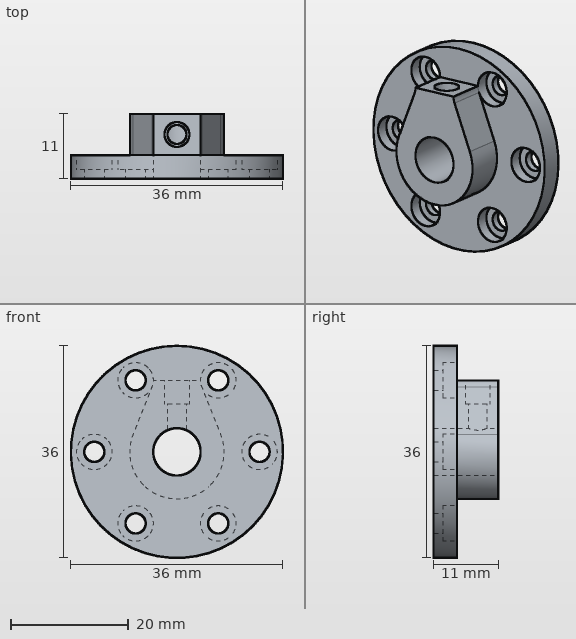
import cadquery as cq
import math

flange_diameter = 36.0
flange_thickness = 4.0
total_depth = 11.0
bore_diameter = 8.0

bolt_count = 6
bolt_circle_radius = 14.0
bolt_hole_diameter = 3.4
head_diameter = 6.0
head_recess_depth = 2.4

hub_radius = 8.0
hub_length = total_depth - flange_thickness

screw_hole_diameter = 3.2
screw_entry_diameter = 4.2
screw_entry_depth = 4.0
screw_y = flange_thickness + hub_length / 2

head_radius = head_diameter / 2
bolt_step = 360 / bolt_count
bolt_x = bolt_circle_radius * math.cos(math.radians(bolt_step))
lug_top = bolt_circle_radius * math.sin(math.radians(bolt_step))


def y_cylinder(diameter, y_start, length, x=0.0, z=0.0):
    """Cylinder running along +Y from y_start."""
    start = cq.Vector(x, y_start, z)
    return cq.Workplane(obj=cq.Solid.makeCylinder(diameter / 2, length, start, cq.Vector(0, 1, 0)))


def screw_drill(diameter, z_start):
    """Cylinder running along +Z from z_start to the top of the lug."""
    start = cq.Vector(0, screw_y, z_start)
    return cq.Workplane(obj=cq.Solid.makeCylinder(diameter / 2, lug_top - z_start, start))


def make_hub():
    """Round hub whose flanks run tangent from the hub circle to the screw-head circles."""
    flank_angle = math.radians(bolt_step) - math.acos((hub_radius + head_radius) / bolt_circle_radius)
    flank_start_x = hub_radius * math.cos(flank_angle)
    flank_start_z = hub_radius * math.sin(flank_angle)
    flank_end_x = bolt_x - head_radius * math.cos(flank_angle)
    flank_end_z = lug_top - head_radius * math.sin(flank_angle)
    relief_mid_x = bolt_x - head_radius * math.cos(flank_angle / 2)
    relief_mid_z = lug_top - head_radius * math.sin(flank_angle / 2)
    lug_half_width = bolt_x - head_radius

    return (
        cq.Workplane("XZ", origin=(0, flange_thickness, 0))
        .moveTo(-flank_start_x, flank_start_z)
        .threePointArc((0, -hub_radius), (flank_start_x, flank_start_z))
        .lineTo(flank_end_x, flank_end_z)
        .threePointArc((relief_mid_x, relief_mid_z), (lug_half_width, lug_top))
        .lineTo(-lug_half_width, lug_top)
        .threePointArc((-relief_mid_x, relief_mid_z), (-flank_end_x, flank_end_z))
        .close()
        .extrude(-hub_length)
    )


result = y_cylinder(flange_diameter, 0, flange_thickness).union(make_hub())
result = result.cut(y_cylinder(bore_diameter, 0, total_depth))

recess_start = flange_thickness - head_recess_depth
for index in range(bolt_count):
    angle = math.radians(index * bolt_step)
    hole_x = bolt_circle_radius * math.cos(angle)
    hole_z = bolt_circle_radius * math.sin(angle)
    result = result.cut(y_cylinder(bolt_hole_diameter, 0, flange_thickness, hole_x, hole_z))
    result = result.cut(y_cylinder(head_diameter, recess_start, head_recess_depth, hole_x, hole_z))

result = result.cut(screw_drill(screw_hole_diameter, 0))
result = result.cut(screw_drill(screw_entry_diameter, lug_top - screw_entry_depth))